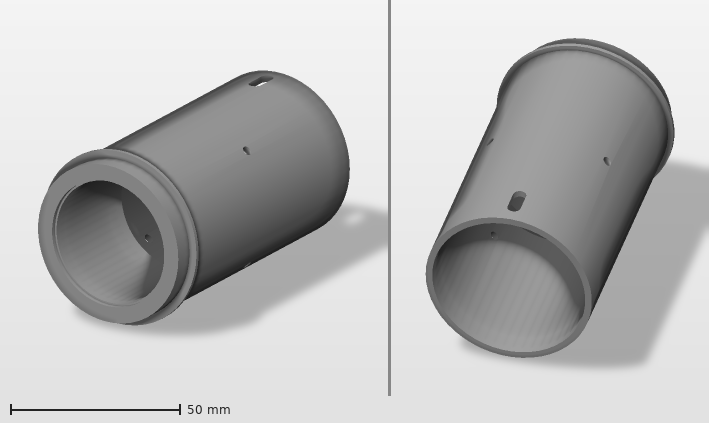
import cadquery as cq

length = 92.3
body_diameter = 50.85
spigot_diameter = 49.2
flange_diameter = 54.1
flange_front = 6.1
flange_thickness = 1.2

recess_diameter = 39.3
recess_depth = 1.5
bore_diameter = 38.1
wall_thickness = 2.0
rear_bore_diameter = body_diameter - 2 * wall_thickness
rear_bore_start = 36.9

slot_length = 10.15
slot_width = 4.0
slot_center_from_rear = 8.95

hole_diameter = 2.95
hole_position = 47.9
hole_count = 4
first_hole_angle = 45.0


def cylinder(diameter, start, end):
    """Solid cylinder on the Y axis between two Y positions."""
    base = cq.Workplane("XZ", origin=(0, start, 0))
    return base.circle(diameter / 2).extrude(start - end)


def sleeve_blank():
    """Front spigot, thin flange and long rear body."""
    spigot = cylinder(spigot_diameter, 0, flange_front)
    flange = cylinder(flange_diameter, flange_front, flange_front + flange_thickness)
    body = cylinder(body_diameter, flange_front, length)
    return spigot.union(flange).union(body)


def stepped_bore():
    """Material removed along the axis."""
    recess = cylinder(recess_diameter, 0, recess_depth)
    front_bore = cylinder(bore_diameter, 0, length)
    rear_bore = cylinder(rear_bore_diameter, rear_bore_start, length)
    return front_bore.union(recess).union(rear_bore)


def top_slot():
    """Round-ended cutter reaching from the axis out through the top wall."""
    base = cq.Workplane("XY", origin=(0, length - slot_center_from_rear, 0))
    return base.slot2D(slot_length, slot_width, 90).extrude(body_diameter)


def radial_hole(angle):
    """Cutter from the axis outward, turned about Y by the given angle."""
    base = cq.Workplane("XY", origin=(0, hole_position, 0))
    drill = base.circle(hole_diameter / 2).extrude(body_diameter)
    return drill.rotate((0, 0, 0), (0, 1, 0), angle)


result = sleeve_blank().cut(stepped_bore()).cut(top_slot())
for index in range(hole_count):
    result = result.cut(radial_hole(first_hole_angle + index * 360 / hole_count))